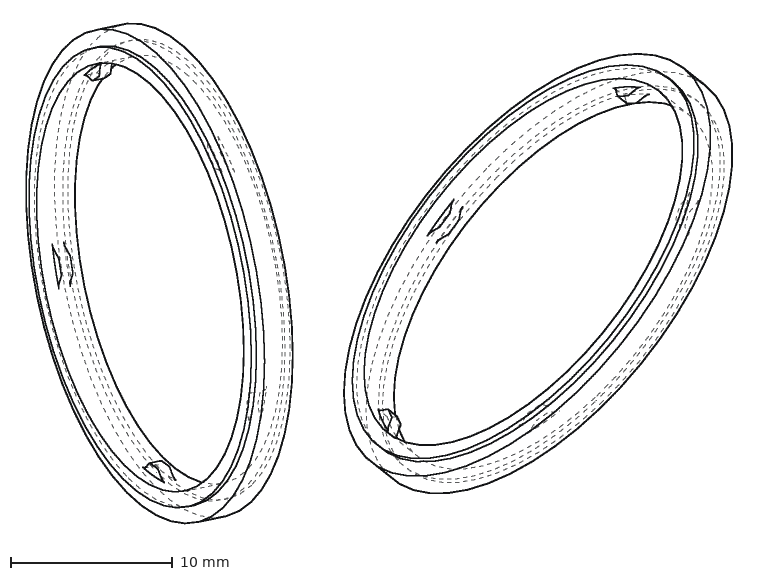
import cadquery as cq
import math

outer_diameter = 31.1
lip_diameter = 29.0
bore_diameter = 27.0
ring_width = 2.7
band_width = 2.0

lug_count = 5
lug_width = 0.8
lug_tip_depth = 12.8
lug_tip_length = 1.1
lug_tip_fillet = 0.2
flank_end_length = 2.0
flank_end_depth = 13.25
foot_length = 2.8
foot_depth = math.sqrt((bore_diameter / 2) ** 2 - (foot_length / 2) ** 2)
lug_embed_depth = (bore_diameter + lip_diameter) / 4


def centered_disc(diameter, width):
    """Disc along Y, centered on the origin."""
    return cq.Workplane("XZ", origin=(0, width / 2, 0)).circle(diameter / 2).extrude(width)


def make_lug():
    """Lug at the bottom of the bore, with rounded tip edges and flanks that curve out to the wall.

    The foot, tip and flank depths are distances below the ring axis.
    """
    half_lug = (
        cq.Workplane("XZ", origin=(0, lug_width / 2, 0))
        .moveTo(0, -lug_embed_depth)
        .lineTo(0, -lug_tip_depth)
        .lineTo(lug_tip_length / 2, -lug_tip_depth)
        .lineTo(flank_end_length / 2, -flank_end_depth)
        .tangentArcPoint((foot_length / 2, -foot_depth), relative=False)
        .lineTo(foot_length / 2, -lug_embed_depth)
        .close()
        .extrude(lug_width)
    )
    whole_lug = half_lug.union(half_lug.mirror("YZ")).clean()
    return whole_lug.faces(">Z").edges("|Y").fillet(lug_tip_fillet)


ring = centered_disc(outer_diameter, band_width).union(centered_disc(lip_diameter, ring_width))
result = ring.cut(centered_disc(bore_diameter, ring_width))

lug = make_lug()
for index in range(lug_count):
    angle = index * 360 / lug_count
    result = result.union(lug.rotate((0, 0, 0), (0, 1, 0), angle))